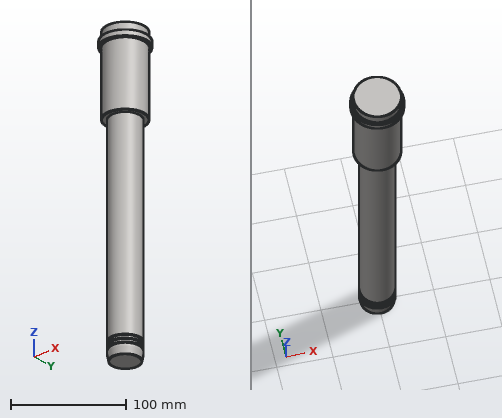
import cadquery as cq

length = 320.0

shaft_diameter = 32.0
head_diameter = 42.0
collar_diameter = 47.0
tip_diameter = 29.5

head_length = 85.5
collar_top_gap = 8.5
collar_height = 6.7
tip_length = 7.5

collar_chamfer = 0.5
head_top_chamfer = 0.3
head_bottom_chamfer = 0.5
tip_chamfer = 0.48

groove_depth = 0.3
groove_width = 1.0
groove_pitch = 4.0
groove_count = 3
first_groove_z = 11.0


def cylinder(diameter, bottom, height):
    return cq.Workplane("XY").workplane(offset=bottom).circle(diameter / 2).extrude(height)


def turned_body():
    """Tip, shaft and head as one half-profile revolved about Z."""
    shoulder_z = length - head_length
    return (
        cq.Workplane("XZ")
        .moveTo(0, 0)
        .lineTo(-tip_diameter / 2 + tip_chamfer, 0)
        .lineTo(-tip_diameter / 2, tip_chamfer)
        .lineTo(-shaft_diameter / 2, tip_length)
        .lineTo(-shaft_diameter / 2, shoulder_z)
        .lineTo(-head_diameter / 2 + head_bottom_chamfer, shoulder_z)
        .lineTo(-head_diameter / 2, shoulder_z + head_bottom_chamfer)
        .lineTo(-head_diameter / 2, length - head_top_chamfer)
        .lineTo(-head_diameter / 2 + head_top_chamfer, length)
        .lineTo(0, length)
        .close()
        .revolve(360, (0, 0, 0), (0, 1, 0))
    )


def collar():
    bottom = length - collar_top_gap - collar_height
    return cylinder(collar_diameter, bottom, collar_height).edges("%CIRCLE").chamfer(collar_chamfer)


def ring_groove(center_z):
    bottom = center_z - groove_width / 2
    outer = cylinder(shaft_diameter + 2 * groove_depth, bottom, groove_width)
    core = cylinder(shaft_diameter - 2 * groove_depth, bottom, groove_width)
    return outer.cut(core)


result = turned_body().union(collar())

for index in range(groove_count):
    result = result.cut(ring_groove(first_groove_z + index * groove_pitch))